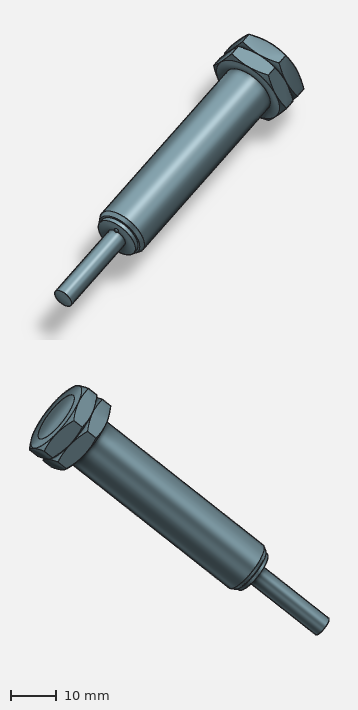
import cadquery as cq
import math

total_length = 77.0

barrel_diameter = 12.0
barrel_chamfer_length = 1.0
barrel_chamfer_width = 0.55
cap_diameter = 10.0
cap_length = 1.0
cable_diameter = 4.6
cable_length = 20.0
lamp_radius = 0.5
lamp_height = 2.85

nut_across_flats = 17.0
nut_thickness = 4.0
nut_face_diameter = 16.95
nut_chamfer_angle = 30.0
nut_sides = 6
nut_count = 2

cable_end = -total_length / 2
cap_front = cable_end + cable_length
barrel_front = cap_front + cap_length
barrel_back = total_length / 2


def cylinder(diameter, start, end):
    """Solid cylinder on the Y axis between two stations."""
    return cq.Workplane("XZ", origin=(0, start, 0)).circle(diameter / 2).extrude(start - end)


def revolve_about_y(half_profile):
    """Turn a closed profile of (radius, y) points about the Y axis."""
    return cq.Workplane("XY").polyline(half_profile).close().revolve(360, (0, 0, 0), (0, 1, 0))


def make_sensor():
    """Barrel with a tapered front edge, an end cap, a cable and a domed lamp."""
    barrel_radius = barrel_diameter / 2
    barrel = revolve_about_y([
        (0, barrel_front),
        (barrel_radius - barrel_chamfer_width, barrel_front),
        (barrel_radius, barrel_front + barrel_chamfer_length),
        (barrel_radius, barrel_back),
        (0, barrel_back),
    ])
    cap = cylinder(cap_diameter, cap_front, barrel_front)
    cable = cylinder(cable_diameter, cable_end, cap_front)
    lamp = cq.Workplane("XY").sphere(lamp_radius).translate((0, cap_front, lamp_height))
    return barrel.union(cap).union(cable).union(lamp)


def make_nut(front):
    """Hexagon nut with corners chamfered on both faces and a bore that fits the barrel."""
    back = front + nut_thickness
    corner_diameter = nut_across_flats / math.cos(math.pi / nut_sides)
    corner_radius = corner_diameter / 2
    face_radius = nut_face_diameter / 2
    chamfer_depth = (corner_radius - face_radius) * math.tan(math.radians(nut_chamfer_angle))

    hexagon = cq.Workplane("XZ", origin=(0, front, 0)).polygon(nut_sides, corner_diameter).extrude(-nut_thickness)
    chamfer_envelope = revolve_about_y([
        (0, front),
        (face_radius, front),
        (corner_radius, front + chamfer_depth),
        (corner_radius, back - chamfer_depth),
        (face_radius, back),
        (0, back),
    ])
    return hexagon.intersect(chamfer_envelope).cut(cylinder(barrel_diameter, front, back))


sensor = make_sensor()
nuts = []
for position in range(1, nut_count + 1):
    nut = make_nut(barrel_back - position * nut_thickness)
    nuts.append(nut.val())

result = cq.Compound.makeCompound([sensor.val(), *nuts])